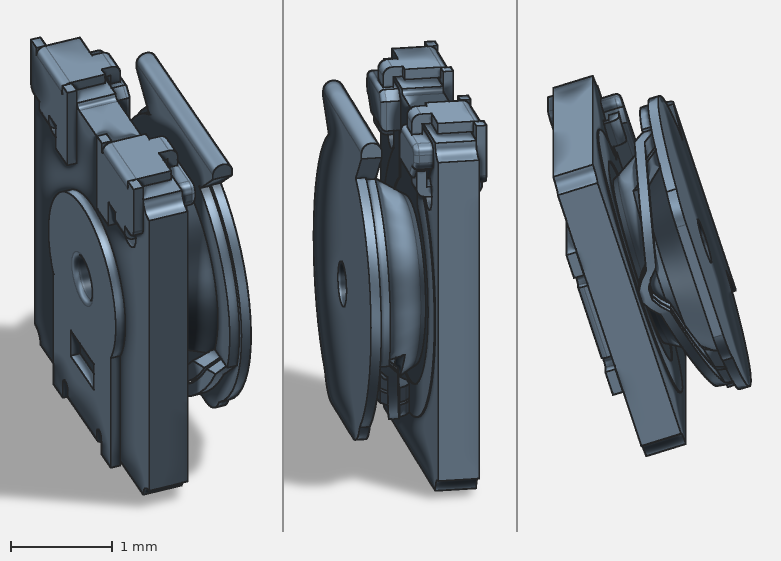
import cadquery as cq
import math


sheet = 0.103
base_depth = 0.41
base_front = sheet
base_back = base_front + base_depth
film_thickness = 0.01
film_back = base_back + film_thickness
rotor_back = 1.19
rotor_mid = rotor_back - sheet
rotor_front = rotor_mid - sheet

base_width = 3.0
base_top = 1.855
base_bottom = -1.753
corner_radius = 0.152
top_dip_width = 0.777
top_dip_depth = 0.055
left_hole_x = -0.99
right_hole_x = 0.97
side_hole_z = 1.235
side_hole_radius = 0.18

pivot_radius = 0.88
pivot_width = 1.5
pivot_bottom = -1.802
window_width = 0.61
window_top = -0.84
window_bottom = -1.15
slot_x = 0.442
slot_width = 0.125
slot_top = -1.555
tongue_round = 0.057
bore_radius = 0.225
bore_flare = 0.055
tube_radius = 0.325
tube_end = base_back + sheet

terminal_top = 2.008
terminal_inner = 0.39
terminal_outer = 1.345
plate_bottom = 1.402
leg_bottom = 1.12
leg_width = 0.3
plate_corner = 0.088
fold_inner = 0.535
fold_outer = 1.195
relief_width = 0.015
relief_depth = 0.105
bend_radius = 0.09
tab_width = 0.25
upper_tab_x = 0.75
lower_tab_x = 0.995
shelf_back = 0.46
hook_back = 0.66
hook_end = 1.623
lower_tab_bottom = 1.225

pad_inner = 0.46
pad_outer = 1.25
pad_top = 1.802
pad_bottom = 1.402
pad_outer_bottom = 1.53
pad_back = 0.71
pad_corner = 0.095
pad_chamfer = 0.095
pad_edge = 0.05

film_outer = 1.355
film_inner = 1.03
film_leg_inner = 0.46
film_leg_outer = 0.762

rotor_radius = base_width / 2
rotor_bottom = -1.417
lobe_width = 1.83
lobe_top = -1.175
lobe_flat = 1.18
lobe_corner = 0.38
boss_root_radius = 0.775
boss_radius = 0.648
boss_height = 0.055
layer_radius = 1.445
hem_width = 2.005
hem_top = 1.78
neck_top = 1.623
neck_bottom = 1.295
cup_rim_radius = 1.13
cup_floor_radius = 0.875
cup_shoulder = 0.57
cup_round = 0.03
cup_wall = 0.042
cup_trim_radius = 0.968
cup_trim_top = -0.495
wiper_bend_top = -0.42
wiper_bottom = -1.355
wiper_inner_bottom = -1.06
finger_gap_top = -1.208
finger_gap_bottom = -1.235
arm_height = 0.61
arm_slope = 0.21
contact_half_width = 0.235
contact_step_x = 0.152
contact_step_y = 0.583
contact_tip_x = 0.057


def box(x0, x1, y0, y1, z0, z1):
    return cq.Workplane("XY").box(x1 - x0, y1 - y0, z1 - z0, centered=False).translate((x0, y0, z0))


def plane_at(y):
    """Sketch plane across Y: local x is X, local y is Z, and +Y is a negative extrusion."""
    return cq.Workplane("XZ", origin=(0, y, 0))


def disc(radius, y0, y1, x=0, z=0):
    return plane_at(y0).center(x, z).circle(radius).extrude(y0 - y1)


def make_base():
    half = base_width / 2
    base = box(-half, half, base_front, base_back, base_bottom, base_top)
    for side in (-1, 1):
        for edge in (base_top, base_bottom):
            base = base.cut(disc(corner_radius, base_front, base_back, side * half, edge))
    for hole_x in (left_hole_x, right_hole_x):
        base = base.cut(disc(side_hole_radius, base_front, base_back, hole_x, side_hole_z))
    dip_half = top_dip_width / 2
    dip_floor = base_top - top_dip_depth
    dip = box(-dip_half, dip_half, base_front, base_back, dip_floor, base_top + top_dip_depth)
    base = base.cut(dip.edges("|Y and <Z").fillet(top_dip_depth))
    return base.cut(disc(tube_radius, base_front, base_back))


def make_pivot():
    half = pivot_width / 2
    plate = disc(pivot_radius, 0, sheet).union(box(-half, half, 0, sheet, pivot_bottom, 0))
    plate = plate.cut(box(-window_width / 2, window_width / 2, 0, sheet, window_bottom, window_top))
    slot_round = slot_width / 2
    tongue_half = slot_x - slot_round
    tongue = box(-tongue_half, tongue_half, 0, sheet, base_bottom, slot_top)
    plate = plate.cut(box(-slot_x, slot_x, 0, sheet, pivot_bottom, slot_top - slot_round))
    for side in (-1, 1):
        x = side * slot_x
        plate = plate.cut(disc(slot_round, 0, sheet, x, slot_top - slot_round))
        plate = plate.cut(box(x - slot_round, x + slot_round, 0, sheet, pivot_bottom, slot_top - slot_round))
    plate = plate.union(tongue.edges("|X and <Y and <Z").fillet(tongue_round))
    pivot = plate.union(disc(tube_radius, sheet, tube_end))
    pivot = pivot.cut(disc(bore_radius, 0, tube_end))
    mouth = cq.selectors.NearestToPointSelector((0, 0, 0))
    return pivot.faces("<Y").edges(mouth).fillet(bore_flare)


def make_terminal():
    plate = (
        plane_at(0)
        .moveTo(terminal_inner, terminal_top)
        .lineTo(terminal_outer, terminal_top)
        .lineTo(terminal_outer, plate_bottom)
        .lineTo(terminal_inner + leg_width, plate_bottom)
        .lineTo(terminal_inner + leg_width, leg_bottom)
        .lineTo(terminal_inner, leg_bottom)
        .close()
        .extrude(-sheet)
    )
    corner = cq.selectors.NearestToPointSelector((terminal_outer, sheet / 2, plate_bottom))
    plate = plate.edges(corner).fillet(plate_corner)
    fold_bottom = terminal_top - relief_depth
    plate = plate.cut(box(fold_inner - relief_width, fold_outer, 0, sheet, fold_bottom, terminal_top))

    shelf = box(fold_inner, fold_outer, 0, shelf_back, fold_bottom, terminal_top)
    shelf = shelf.edges("|X and <Y and >Z").fillet(bend_radius)

    tab_half = tab_width / 2
    upper = box(upper_tab_x - tab_half, upper_tab_x + tab_half, 0, hook_back, hook_end, terminal_top)
    upper = upper.edges("|X and >Z").fillet(bend_radius)
    upper = upper.cut(box(0, terminal_outer, 0, hook_back - sheet, hook_end, terminal_top - sheet))
    lower = box(lower_tab_x - tab_half, lower_tab_x + tab_half, 0, hook_back, lower_tab_bottom, hook_end)
    lower = lower.edges("|X and <Z").fillet(bend_radius)
    lower = lower.cut(box(0, terminal_outer, sheet, hook_back - sheet, lower_tab_bottom + sheet, hook_end))
    return plate.union(shelf).union(upper).union(lower)


def make_pad(terminal):
    step = pad_outer_bottom - pad_bottom
    pad = (
        plane_at(base_back)
        .moveTo(pad_inner + pad_chamfer, pad_top)
        .lineTo(pad_outer - pad_corner, pad_top)
        .radiusArc((pad_outer, pad_top - pad_corner), pad_corner)
        .lineTo(pad_outer, pad_outer_bottom + pad_corner)
        .radiusArc((pad_outer - pad_corner, pad_outer_bottom), pad_corner)
        .lineTo(pad_outer - pad_corner - step, pad_bottom)
        .lineTo(pad_inner, pad_bottom)
        .lineTo(pad_inner, pad_top - pad_chamfer)
        .close()
        .extrude(base_back - pad_back)
    )
    return pad.faces(">Y").edges().fillet(pad_edge).cut(terminal)


def make_film():
    ring = disc(film_outer, base_back, film_back).cut(disc(film_inner, base_back, film_back))
    film = ring.cut(box(-film_leg_outer, film_leg_outer, base_back, film_back, 0, film_outer))
    for side in (-1, 1):
        xs = sorted((side * film_leg_inner, side * film_leg_outer))
        leg = box(*xs, base_back, film_back, 0, pad_bottom)
        film = film.union(leg.cut(disc(film_inner, base_back, film_back)))
    return film


def neck(y0, y1):
    half = hem_width / 2
    taper = neck_top - neck_bottom
    hem_centre = hem_top - sheet
    return (
        plane_at(y0)
        .polyline([
            (-half, hem_centre), (half, hem_centre), (half, neck_top), (half - taper, neck_bottom),
            (taper - half, neck_bottom), (-half, neck_top),
        ])
        .close()
        .extrude(y0 - y1)
    )


def below_bend(z):
    return box(-rotor_radius, rotor_radius, 0, rotor_back, -rotor_radius, z)


def make_wiper():
    """Lower half of the front layer, bent down into two V-shaped ring fingers."""
    reach = rotor_radius
    drop = rotor_front
    far = 2 * reach
    behind_slope = (
        cq.Workplane("YZ", origin=(-reach, 0, 0))
        .polyline([
            (rotor_front, wiper_bend_top), (rotor_front - drop, wiper_bend_top - drop),
            (rotor_front - drop, -far), (far, -far), (far, wiper_bend_top),
        ])
        .close()
        .extrude(far)
    )
    arm_foot = arm_height + arm_slope * contact_half_width
    arm_end = arm_height + arm_slope * reach
    right = [
        (contact_tip_x, film_back), (contact_step_x, contact_step_y),
        (contact_half_width, arm_foot), (reach, arm_end),
    ]
    left = [(-x, y) for x, y in reversed(right)]
    behind_arms = (
        cq.Workplane("XY", origin=(0, 0, -far))
        .polyline([(-reach, far)] + left + right + [(reach, far)])
        .close()
        .extrude(far)
    )
    solid = behind_slope.intersect(behind_arms)
    miter = sheet * math.tan(math.radians(45 / 2))
    bent = solid.cut(solid.translate((0, sheet, -miter)))

    centre = wiper_bottom + layer_radius

    def band(bottom, top):
        outside = disc(centre - bottom, 0, rotor_back, 0, centre)
        return outside.cut(disc(centre - top, 0, rotor_back, 0, centre))

    fingers = band(wiper_bottom, finger_gap_bottom).union(band(finger_gap_top, wiper_inner_bottom))
    return bent.intersect(fingers.intersect(below_bend(wiper_bend_top)))


def make_cup():
    outer = (
        cq.Workplane("XY")
        .polyline([
            (0, base_back), (cup_floor_radius - cup_round, base_back), (cup_floor_radius, cup_shoulder),
            (cup_rim_radius, rotor_front), (cup_rim_radius, rotor_mid), (0, rotor_mid),
        ])
        .close()
        .revolve(360, (0, 0, 0), (0, 1, 0))
    )
    inner = (
        cq.Workplane("XY")
        .polyline([
            (0, base_back + sheet), (cup_floor_radius - cup_wall, base_back + sheet),
            (cup_rim_radius - cup_wall, rotor_front), (cup_rim_radius - cup_wall, rotor_mid), (0, rotor_mid),
        ])
        .close()
        .revolve(360, (0, 0, 0), (0, 1, 0))
    )
    return outer.cut(inner)


def make_lobe():
    return (
        plane_at(rotor_mid)
        .moveTo(-lobe_width / 2, lobe_top)
        .lineTo(lobe_width / 2, lobe_top)
        .radiusArc((lobe_flat / 2, rotor_bottom), lobe_corner)
        .lineTo(-lobe_flat / 2, rotor_bottom)
        .radiusArc((-lobe_width / 2, lobe_top), lobe_corner)
        .close()
        .extrude(rotor_mid - rotor_back)
    )


def make_rotor():
    back = disc(rotor_radius, rotor_mid, rotor_back).union(neck(rotor_mid, rotor_back))
    back = back.cut(box(-rotor_radius, rotor_radius, rotor_mid, rotor_back, -rotor_radius, rotor_bottom))
    back = back.union(make_lobe())
    boss = (
        plane_at(rotor_mid)
        .circle(boss_root_radius)
        .workplane(offset=boss_height)
        .circle(boss_radius)
        .loft()
    )
    back = back.union(boss).cut(disc(bore_radius, 0, rotor_back))

    front = disc(layer_radius, rotor_front, rotor_mid).cut(below_bend(wiper_bend_top))
    front = front.union(neck(rotor_front, rotor_mid))
    front = front.cut(disc(cup_rim_radius - cup_wall, rotor_front, rotor_mid))
    hem = (
        cq.Workplane("YZ", origin=(-hem_width / 2, 0, 0))
        .center(rotor_mid, hem_top - sheet)
        .moveTo(-sheet, 0)
        .threePointArc((0, sheet), (sheet, 0))
        .close()
        .extrude(hem_width)
    )
    trim = disc(rotor_radius, 0, rotor_mid).cut(disc(cup_trim_radius, 0, rotor_mid))
    cup = make_cup().cut(trim.intersect(below_bend(cup_trim_top)))
    cup = cup.cut(disc(tube_radius, 0, rotor_mid))
    return back.union(front).union(hem).union(cup).union(make_wiper())


base = make_base()
pivot = make_pivot()
film = make_film()
rotor = make_rotor()

terminals = []
pads = []
right_terminal = make_terminal()
right_pad = make_pad(right_terminal)
for side in (1, -1):
    terminals.append(right_terminal if side == 1 else right_terminal.mirror("YZ"))
    pads.append(right_pad if side == 1 else right_pad.mirror("YZ"))

bodies = [base, pivot, film, rotor] + terminals + pads
result = cq.Compound.makeCompound([body.solids().val() for body in bodies])